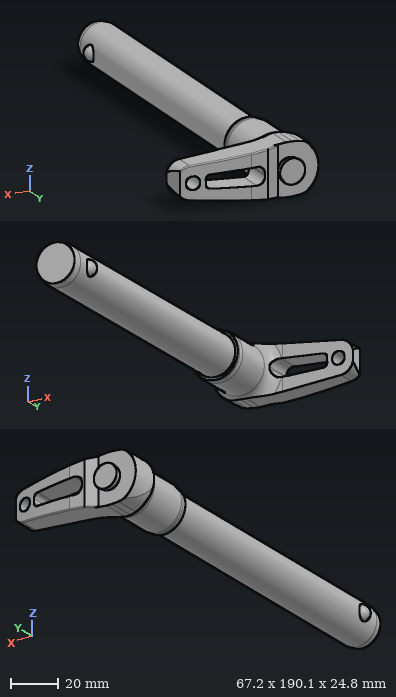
import cadquery as cq
import math

total_length = 190.1

shaft_diameter = 20.0
shaft_radius = shaft_diameter / 2
tip_radius = 9.1
tip_length = 4.0

ball_radius = 3.8
ball_reach = 12.5
ball_y = 13.3

collar_diameter = 23.4
collar_radius = collar_diameter / 2
collar_nose_radius = 11.2
collar_start_y = 147.0
nose_end_y = 148.7
collar_full_y = 150.5
flare_radius = 5.7
flare_start_y = 170.5
flare_end_y = flare_start_y + flare_radius
flare_outer_radius = collar_radius + flare_radius

head_top_y = 187.0
hump_start_x = 5.5
hump_x = 11.2
hump_y = 189.3
hump_end_x = 19.0
crown_mid_x = 35.2
crown_mid_y = 187.5
grip_top_x = 50.2
grip_top_y = 184.4
grip_end_x = 51.9
grip_end_y = 174.5
crown_fillet = 0.5

half_width = 12.4
flat_start_x = -1.3
flat_end_x = 1.5
head_arc_radius = 12.2
head_arc_x = -3.2
head_arc_end_x = -4.8
head_arc_end_z = math.sqrt(head_arc_radius**2 - (head_arc_end_x - head_arc_x) ** 2)
grip_half_width = 7.2
grip_corner_radius = 6.5

back_low_radius = 15.4
back_low_y = 175.3
back_high_radius = 13.7

slot_start_x = 12.5
slot_end_x = 39.2
slot_start_half_width = 4.4
slot_end_half_width = 3.0
slot_start_corner = 3.8
slot_end_corner = 2.0
hole_x = 44.7
hole_radius = 3.0

button_radius = 5.9
button_base_radius = 5.5


def plan_sketch():
    """Sketch plane at the button top, with local axes X and Z; extrusions run toward the tip."""
    return cq.Workplane("XZ", origin=(0, total_length, 0))


def turned(sketch):
    return sketch.close().revolve(360, (0, 0, 0), (0, 1, 0))


def make_pin():
    sketch = (
        cq.Workplane("XY")
        .lineTo(tip_radius, 0)
        .lineTo(shaft_radius, tip_length)
        .lineTo(shaft_radius, collar_start_y)
        .lineTo(collar_nose_radius, collar_start_y)
        .lineTo(collar_nose_radius, nose_end_y)
        .lineTo(collar_radius, collar_full_y)
        .lineTo(collar_radius, flare_end_y)
        .lineTo(0, flare_end_y)
    )
    return turned(sketch)


def make_plan_prism():
    """Handle outline extended through the full height of the flare and head."""
    return (
        plan_sketch()
        .moveTo(head_arc_end_x, head_arc_end_z)
        .lineTo(flat_start_x, half_width)
        .lineTo(flat_end_x, half_width)
        .lineTo(grip_end_x, grip_half_width)
        .lineTo(grip_end_x, -grip_half_width)
        .lineTo(flat_end_x, -half_width)
        .lineTo(flat_start_x, -half_width)
        .lineTo(head_arc_end_x, -head_arc_end_z)
        .threePointArc((head_arc_x - head_arc_radius, 0), (head_arc_end_x, head_arc_end_z))
        .close()
        .extrude(total_length - collar_start_y)
        .edges("|Y and >X")
        .fillet(grip_corner_radius)
    )


def make_side_profile():
    return (
        cq.Workplane("XY")
        .moveTo(-back_low_radius, flare_end_y)
        .lineTo(-back_low_radius, head_top_y)
        .lineTo(hump_start_x, head_top_y)
        .lineTo(hump_x, hump_y)
        .lineTo(hump_end_x, hump_y)
        .threePointArc((crown_mid_x, crown_mid_y), (grip_top_x, grip_top_y))
        .lineTo(grip_end_x, grip_end_y)
        .lineTo(flare_outer_radius, flare_end_y)
        .close()
        .extrude(half_width, both=True)
    )


def make_flare():
    arc_offset = flare_radius * math.sqrt(0.5)
    arc_mid = (flare_outer_radius - arc_offset, flare_start_y + arc_offset)
    sketch = (
        cq.Workplane("XY")
        .moveTo(0, flare_start_y)
        .lineTo(collar_radius, flare_start_y)
        .threePointArc(arc_mid, (flare_outer_radius, flare_end_y))
        .lineTo(0, flare_end_y)
    )
    return turned(sketch)


def make_back_limit():
    """Cone bounding the back of the head, joined to a block that leaves the grip free."""
    sketch = (
        cq.Workplane("XY")
        .moveTo(0, collar_start_y)
        .lineTo(back_low_radius, collar_start_y)
        .lineTo(back_low_radius, back_low_y)
        .lineTo(back_high_radius, head_top_y)
        .lineTo(0, head_top_y)
    )
    grip_space = cq.Workplane("XY").box(
        grip_end_x, total_length, 2 * half_width, centered=(False, False, True)
    )
    return turned(sketch).union(grip_space)


def make_openings():
    slot = (
        plan_sketch()
        .moveTo(slot_start_x, slot_start_half_width)
        .lineTo(slot_end_x, slot_end_half_width)
        .lineTo(slot_end_x, -slot_end_half_width)
        .lineTo(slot_start_x, -slot_start_half_width)
        .close()
        .extrude(total_length - collar_start_y)
    )
    slot = slot.edges("|Y and <X").fillet(slot_start_corner)
    slot = slot.edges("|Y and >X").fillet(slot_end_corner)
    hole = plan_sketch().center(hole_x, 0).circle(hole_radius).extrude(total_length - collar_start_y)
    return slot.union(hole)


def make_handle():
    outline = make_plan_prism()
    grip = make_side_profile().intersect(outline)
    crown_zone = cq.selectors.BoxSelector(
        (hump_start_x, grip_top_y, -half_width), (grip_end_x, total_length, half_width)
    )
    grip = grip.edges(crown_zone).edges("not |Z").fillet(crown_fillet)
    flare = make_flare().intersect(outline)
    return grip.union(flare).intersect(make_back_limit()).cut(make_openings())


def make_button():
    sketch = (
        cq.Workplane("XY")
        .moveTo(0, flare_end_y)
        .lineTo(button_base_radius, flare_end_y)
        .lineTo(button_base_radius, head_top_y)
        .lineTo(button_radius, total_length)
        .lineTo(0, total_length)
    )
    return turned(sketch)


result = make_pin().union(make_handle()).union(make_button())

for side in (-1, 1):
    ball_x = side * (ball_reach - ball_radius)
    result = result.union(cq.Workplane("XY").sphere(ball_radius).translate((ball_x, ball_y, 0)))